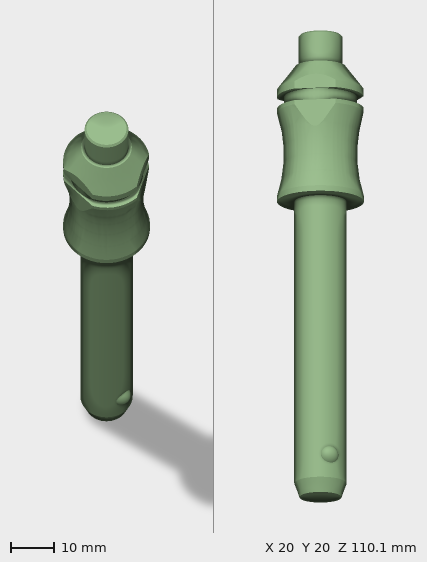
import cadquery as cq
import math

total_length = 110.1
head_radius = 10.0

shank_radius = 6.1
tip_radius = 4.8
tip_height = 3.3

handle_bottom = 70.5
base_rim_height = 1.3
top_rim_height = 1.0
handle_top = 92.6
waist_radius = 8.5

cap_bottom = 95.3
cap_rim_height = 1.8
cap_cone_height = 4.6
collar_height = 0.9
collar_bottom_radius = 6.5
collar_top_radius = 5.8
cone_bottom = cap_bottom + cap_rim_height
cone_top = cone_bottom + cap_cone_height
cap_top = cone_top + collar_height

button_radius = 5.1
button_chamfer = 0.4

flat_count = 3
flat_distance = 8.8
first_flat_angle = -90.0

ball_radius = 2.3
ball_height = 8.8
ball_reach = 7.2

grip_bottom = handle_bottom + base_rim_height
grip_top = handle_top - top_rim_height
waist_height = (grip_bottom + grip_top) / 2

flare_height = grip_top - waist_height
flare_depth = head_radius - waist_radius
flare_arc_radius = (flare_height**2 + flare_depth**2) / (2 * flare_depth)
flare_offset = flare_height / 2
flare_radius = waist_radius + flare_arc_radius - math.sqrt(flare_arc_radius**2 - flare_offset**2)


def make_body():
    """Revolve the half outline of the shank, handle, cap and button about Z."""
    outline = (
        cq.Workplane("XZ")
        .moveTo(0, 0)
        .lineTo(tip_radius, 0)
        .lineTo(shank_radius, tip_height)
        .lineTo(shank_radius, handle_bottom)
        .lineTo(head_radius, handle_bottom)
        .lineTo(head_radius, grip_bottom)
        .threePointArc((flare_radius, waist_height - flare_offset), (waist_radius, waist_height))
        .threePointArc((flare_radius, waist_height + flare_offset), (head_radius, grip_top))
        .lineTo(head_radius, handle_top)
        .lineTo(waist_radius, handle_top)
        .lineTo(waist_radius, cap_bottom)
        .lineTo(head_radius, cap_bottom)
        .lineTo(head_radius, cone_bottom)
        .lineTo(collar_bottom_radius, cone_top)
        .lineTo(collar_top_radius, cap_top)
        .lineTo(button_radius, cap_top)
        .lineTo(button_radius, total_length - button_chamfer)
        .lineTo(button_radius - button_chamfer, total_length)
        .lineTo(0, total_length)
        .close()
    )
    return outline.revolve(360, (0, 0, 0), (0, 1, 0))


def make_flat_cutter(angle):
    """Block that trims everything beyond the flat facing the given direction."""
    return (
        cq.Workplane("XY")
        .box(head_radius, 2 * head_radius, cap_top - waist_height, centered=(False, True, False))
        .translate((flat_distance, 0, waist_height))
        .rotate((0, 0, 0), (0, 0, 1), angle)
    )


def make_ball(side):
    """Locking ball partly sunk in the shank, on the +X (1) or -X (-1) side."""
    ball_offset = side * (ball_reach - ball_radius)
    return cq.Workplane("XY").sphere(ball_radius).translate((ball_offset, 0, ball_height))


result = make_body()
for index in range(flat_count):
    result = result.cut(make_flat_cutter(first_flat_angle + index * 360 / flat_count))
for side in (-1, 1):
    result = result.union(make_ball(side))